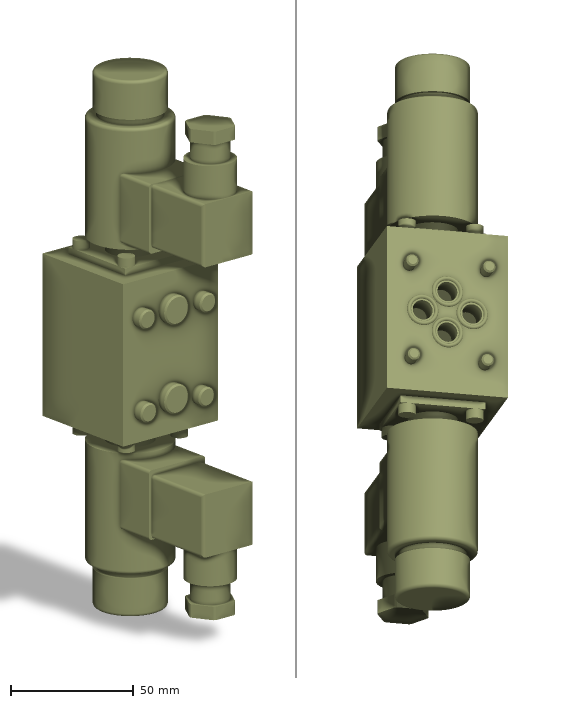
import cadquery as cq


BLOCK_SIDE = 50.9
BLOCK_HEIGHT = 70.0
BLOCK_FACE = BLOCK_SIDE / 2
OVERALL_HEIGHT = 231.3

FLANGE_SIDE = 35.6
FLANGE_THICKNESS = 3.0
FLANGE_SCREW_DIAMETER = 7.2
FLANGE_SCREW_HEIGHT = 4.0
FLANGE_SCREW_OFFSET = (FLANGE_SIDE - FLANGE_SCREW_DIAMETER) / 2

TUBE_DIAMETER = 20.8
COIL_DIAMETER = 37.0
COIL_BOTTOM = 44.0
COIL_TOP = 96.2
NECK_DIAMETER = 28.0
CAP_DIAMETER = 30.8
CAP_BOTTOM = 99.0
CAP_TOP = OVERALL_HEIGHT / 2
TURNED_EDGE_RADIUS = 1.5

SOCKET_START = 11.3
SOCKET_END = 29.5
SOCKET_BOTTOM = 46.7
SOCKET_SIZE = 30.0
PLUG_END = 62.0
PLUG_BOTTOM = 49.0
PLUG_SIZE = 27.3
BOX_EDGE_RADIUS = 1.5

GLAND_X = 50.5
GLAND_DIAMETER = 22.0
GLAND_TOP = 90.7
GLAND_NECK_DIAMETER = 16.7
GLAND_NECK_TOP = 99.7
GLAND_NUT_FLATS = 19.0
GLAND_NUT_CORNERS = 21.3
GLAND_NUT_TOP = 105.5

BOLT_POSITIONS = [(-16.2, 19.0), (16.2, 19.0), (-15.5, -21.5), (15.5, -21.5)]
BOLT_DIAMETER = 5.0
BOLT_TIP_LENGTH = 6.5
BOLT_HEAD_DIAMETER = 8.3
BOLT_HEAD_HEIGHT = 4.9
BOLT_EDGE_CHAMFER = 0.7

SCREW_PLUG_DIAMETER = 12.7
SCREW_PLUG_HEIGHT = 4.2
SCREW_PLUG_OFFSET = 19.2

PORT_POSITIONS = [(0, 8.8), (0, -8.8), (-10.5, 0), (10.5, 0)]
PORT_DIAMETER = 8.3
PORT_DEPTH = 10.0
SEAL_OUTER_DIAMETER = 13.2
SEAL_INNER_DIAMETER = 9.7


def cylinder_z(diameter, bottom, top, x=0.0, y=0.0):
    return cq.Workplane("XY", origin=(x, y, bottom)).circle(diameter / 2).extrude(top - bottom)


def cylinder_x(diameter, start, end, y, z):
    return cq.Workplane("YZ", origin=(start, y, z)).circle(diameter / 2).extrude(end - start)


def box_x(start, end, size, bottom):
    """Square bar along X, centred on Y."""
    length = end - start
    return cq.Workplane("XY", origin=(start + length / 2, 0, bottom)).box(
        length, size, size, centered=(True, True, False)
    )


def make_flange():
    flange_bottom = BLOCK_HEIGHT / 2
    flange_top = flange_bottom + FLANGE_THICKNESS
    flange = cq.Workplane("XY", origin=(0, 0, flange_bottom)).rect(FLANGE_SIDE, FLANGE_SIDE)
    flange = flange.extrude(FLANGE_THICKNESS)
    for x in (-FLANGE_SCREW_OFFSET, FLANGE_SCREW_OFFSET):
        for y in (-FLANGE_SCREW_OFFSET, FLANGE_SCREW_OFFSET):
            head_top = flange_top + FLANGE_SCREW_HEIGHT
            flange = flange.union(cylinder_z(FLANGE_SCREW_DIAMETER, flange_top, head_top, x, y))
    return flange


def make_coil():
    tube = cylinder_z(TUBE_DIAMETER, BLOCK_HEIGHT / 2, COIL_BOTTOM)
    coil = cylinder_z(COIL_DIAMETER, COIL_BOTTOM, COIL_TOP).faces(">Z").edges().fillet(TURNED_EDGE_RADIUS)
    neck = cylinder_z(NECK_DIAMETER, COIL_TOP, CAP_BOTTOM)
    cap = cylinder_z(CAP_DIAMETER, CAP_BOTTOM, CAP_TOP).faces(">Z").edges().fillet(TURNED_EDGE_RADIUS)
    return tube.union(coil).union(neck).union(cap)


def make_connector():
    socket = box_x(SOCKET_START, SOCKET_END, SOCKET_SIZE, SOCKET_BOTTOM)
    socket = socket.edges("|X").fillet(BOX_EDGE_RADIUS)
    plug = box_x(SOCKET_END, PLUG_END, PLUG_SIZE, PLUG_BOTTOM)
    plug = plug.edges("|X or (|Z and >X)").fillet(BOX_EDGE_RADIUS)
    return socket.union(plug)


def make_gland():
    body = cylinder_z(GLAND_DIAMETER, PLUG_BOTTOM + PLUG_SIZE, GLAND_TOP, GLAND_X)
    neck = cylinder_z(GLAND_NECK_DIAMETER, GLAND_TOP, GLAND_NECK_TOP, GLAND_X)
    nut = (
        cq.Workplane("XY", origin=(GLAND_X, 0, GLAND_NECK_TOP))
        .polygon(6, GLAND_NUT_FLATS, circumscribed=True)
        .extrude(GLAND_NUT_TOP - GLAND_NECK_TOP)
    )
    nut = nut.intersect(cylinder_z(GLAND_NUT_CORNERS, GLAND_NECK_TOP, GLAND_NUT_TOP, GLAND_X))
    return body.union(neck).union(nut)


def make_bolt(y, z):
    """The two ends of a bolt that show outside the block."""
    tip = cylinder_x(BOLT_DIAMETER, -BLOCK_FACE - BOLT_TIP_LENGTH, -BLOCK_FACE, y, z)
    tip = tip.faces("<X").edges().chamfer(BOLT_EDGE_CHAMFER)
    head = cylinder_x(BOLT_HEAD_DIAMETER, BLOCK_FACE, BLOCK_FACE + BOLT_HEAD_HEIGHT, y, z)
    head = head.faces(">X").edges().chamfer(BOLT_EDGE_CHAMFER)
    return tip.union(head)


def make_screw_plug(z):
    plug = cylinder_x(SCREW_PLUG_DIAMETER, BLOCK_FACE, BLOCK_FACE + SCREW_PLUG_HEIGHT, 0, z)
    return plug.faces(">X").edges().chamfer(BOLT_EDGE_CHAMFER)


def make_seal(y, z):
    ring_radius = (SEAL_OUTER_DIAMETER + SEAL_INNER_DIAMETER) / 4
    cord_radius = (SEAL_OUTER_DIAMETER - SEAL_INNER_DIAMETER) / 4
    ring = cq.Solid.makeTorus(
        ring_radius, cord_radius, cq.Vector(-BLOCK_FACE, y, z), cq.Vector(1, 0, 0)
    )
    return cq.Workplane(obj=ring)


solenoid = make_flange().union(make_coil()).union(make_connector()).union(make_gland())

result = cq.Workplane("XY").box(BLOCK_SIDE, BLOCK_SIDE, BLOCK_HEIGHT)
result = result.union(solenoid).union(solenoid.mirror("XY"))

for bolt_y, bolt_z in BOLT_POSITIONS:
    result = result.union(make_bolt(bolt_y, bolt_z))

for plug_z in (-SCREW_PLUG_OFFSET, SCREW_PLUG_OFFSET):
    result = result.union(make_screw_plug(plug_z))

for port_y, port_z in PORT_POSITIONS:
    result = result.union(make_seal(port_y, port_z))
    result = result.cut(cylinder_x(PORT_DIAMETER, -BLOCK_FACE, PORT_DEPTH - BLOCK_FACE, port_y, port_z))